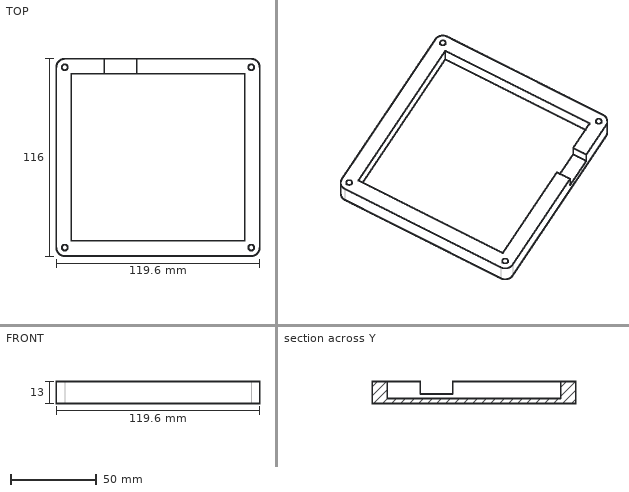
import cadquery as cq

length = 119.6
width = 116.0
height = 13.0
corner_radius = 5.0

wall = 9.0
floor_thickness = 3.0
pocket_length = length - 2 * wall
pocket_width = width - 2 * wall
pocket_depth = height - floor_thickness

notch_width = 19.0
notch_depth = 7.4
notch_center_x = -22.0

hole_diameter = 3.3
hole_spacing_x = length - 2 * corner_radius
hole_spacing_y = width - 2 * corner_radius


def make_body():
    """Plate with rounded vertical corners, resting on Z = 0."""
    plate = cq.Workplane("XY").box(length, width, height, centered=(True, True, False))
    return plate.edges("|Z").fillet(corner_radius)


def make_pocket():
    """Volume removed above the floor."""
    return (
        cq.Workplane("XY", origin=(0, 0, floor_thickness))
        .rect(pocket_length, pocket_width)
        .extrude(pocket_depth)
    )


def make_notch():
    """Volume removed from the top of the +Y wall."""
    wall_center_y = (width - wall) / 2
    return (
        cq.Workplane("XY", origin=(notch_center_x, wall_center_y, height - notch_depth))
        .rect(notch_width, wall)
        .extrude(notch_depth)
    )


def make_screw_holes():
    """Four through holes, one in each corner."""
    return (
        cq.Workplane("XY")
        .rect(hole_spacing_x, hole_spacing_y, forConstruction=True)
        .vertices()
        .circle(hole_diameter / 2)
        .extrude(height)
    )


result = make_body().cut(make_pocket()).cut(make_notch()).cut(make_screw_holes())